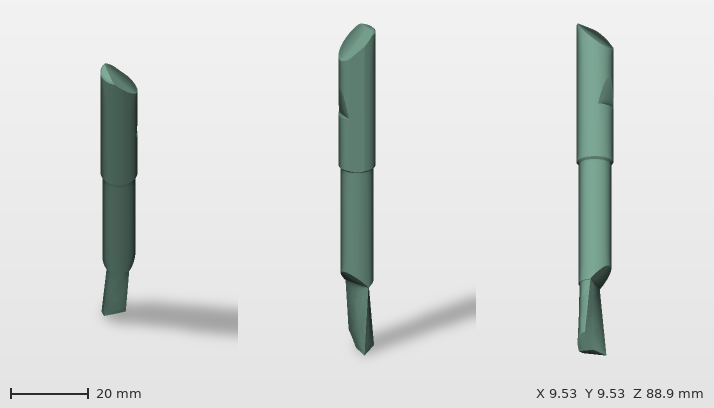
import cadquery as cq
import math

TOTAL_LENGTH = 88.9
SHANK_DIAMETER = 9.525
SHANK_LENGTH = 38.1
NECK_DIAMETER = 8.4
BLADE_LENGTH = 18.2

TOP_CHAMFER = 0.4
TOP_LAND_Y = -2.8
TOP_SLANT_ANGLE = 45
FLAT_DIRECTION = 155.2
FLAT_DISTANCE = 4.35
NOTCH_FLOOR_Z = 65.75
NOTCH_HEIGHT = 7.5
NOTCH_DEPTH = 1.15

BLADE_TOP_RADIUS = 4.0
BLADE_TIP_RADIUS = 4.6
TOP_RAKE_ANGLE = 202.0
TOP_FLANK_ANGLE = 288.5
TOP_BACK_ANGLE = 382.5
TIP_RAKE_ANGLE = 180.0
TIP_FLANK_ANGLE = 261.0
TIP_BACK_ANGLE = 360.0
BACK_CORNER_X = 0.45
BACK_BEVEL_ANGLE = 45
END_RELIEF_ANGLE = 6
END_TILT_ANGLE = 2

RAKE_RUNOUT_ANGLE = 47
FLANK_RUNOUT_ANGLE = 38

shank_radius = SHANK_DIAMETER / 2
neck_radius = NECK_DIAMETER / 2
shank_bottom = TOTAL_LENGTH - SHANK_LENGTH
big = 2 * SHANK_DIAMETER


def tangent(angle):
    return math.tan(math.radians(angle))


def on_circle(radius, angle):
    turn = math.radians(angle)
    return (radius * math.cos(turn), radius * math.sin(turn))


def cross_cutter(plane, points):
    """Prism with the given outline, reaching across the whole bar."""
    return cq.Workplane(plane).polyline(points).close().extrude(big, both=True)


def make_shank():
    shank = cq.Workplane("XY").workplane(offset=shank_bottom).circle(shank_radius).extrude(SHANK_LENGTH)
    shank = shank.faces("<Z").chamfer(shank_radius - neck_radius)
    return shank.faces(">Z").chamfer(TOP_CHAMFER)


def slanted_top():
    drop = big * tangent(TOP_SLANT_ANGLE)
    outline = [
        (TOP_LAND_Y, TOTAL_LENGTH),
        (TOP_LAND_Y + big, TOTAL_LENGTH - drop),
        (TOP_LAND_Y + big, TOTAL_LENGTH),
    ]
    return cross_cutter("YZ", outline)


def locating_flat():
    cutter = cq.Workplane("XY").box(big, big, SHANK_LENGTH, centered=(False, True, False))
    cutter = cutter.translate((FLAT_DISTANCE, 0, shank_bottom))
    return cutter.rotate((0, 0, 0), (0, 0, 1), FLAT_DIRECTION)


def clamping_notch():
    floor_corner = (shank_radius - NOTCH_DEPTH, NOTCH_FLOOR_Z)
    outline = [
        floor_corner,
        (shank_radius, NOTCH_FLOOR_Z),
        (shank_radius, NOTCH_FLOOR_Z + NOTCH_HEIGHT),
    ]
    return cross_cutter("YZ", outline)


def make_neck():
    neck_length = shank_bottom - BLADE_LENGTH
    return cq.Workplane("XY").workplane(offset=BLADE_LENGTH).circle(neck_radius).extrude(neck_length)


def runout(start, end, slope_angle):
    """Wedge under a plane that rises outward from the blade side between two corners."""
    side_x = end[0] - start[0]
    side_y = end[1] - start[1]
    outward = (side_y, -side_x, 0)
    side_plane = cq.Plane(
        origin=(start[0], start[1], BLADE_LENGTH),
        xDir=outward,
        normal=(-side_x, -side_y, 0),
    )
    return cross_cutter(side_plane, [(0, 0), (big, 0), (big, big * tangent(slope_angle))])


def blade_section(radius, rake_angle, flank_angle, back_angle, height):
    section = cq.Workplane("XY").workplane(offset=height)
    section = section.moveTo(*on_circle(radius, rake_angle))
    section = section.lineTo(*on_circle(radius, flank_angle))
    middle_angle = (flank_angle + back_angle) / 2
    section = section.threePointArc(on_circle(radius, middle_angle), on_circle(radius, back_angle))
    return section.close().val()


def make_blade():
    tip = blade_section(BLADE_TIP_RADIUS, TIP_RAKE_ANGLE, TIP_FLANK_ANGLE, TIP_BACK_ANGLE, 0)
    top = blade_section(
        BLADE_TOP_RADIUS, TOP_RAKE_ANGLE, TOP_FLANK_ANGLE, TOP_BACK_ANGLE, BLADE_LENGTH
    )
    return cq.Workplane(cq.Solid.makeLoft([tip, top], True))


def back_bevel():
    rise = big * tangent(BACK_BEVEL_ANGLE)
    outline = [(BACK_CORNER_X, 0), (BACK_CORNER_X + big, 0), (BACK_CORNER_X + big, rise)]
    return cross_cutter("XZ", outline)


def end_relief():
    """Block under the end face, which rises from the cutting tip."""
    block = cq.Workplane("XY").box(2 * big, 2 * big, big, centered=(True, True, False))
    block = block.translate((0, 0, -big))
    block = block.rotate((0, 0, 0), (1, 0, 0), -END_RELIEF_ANGLE)
    block = block.rotate((0, 0, 0), (0, 1, 0), -END_TILT_ANGLE)
    return block.translate((*on_circle(BLADE_TIP_RADIUS, TIP_RAKE_ANGLE), 0))


shank = make_shank().cut(slanted_top()).cut(locating_flat()).cut(clamping_notch())

rake_corner = on_circle(BLADE_TOP_RADIUS, TOP_RAKE_ANGLE)
flank_corner = on_circle(BLADE_TOP_RADIUS, TOP_FLANK_ANGLE)
back_corner = on_circle(BLADE_TOP_RADIUS, TOP_BACK_ANGLE)
neck = make_neck()
neck = neck.cut(runout(back_corner, rake_corner, RAKE_RUNOUT_ANGLE))
neck = neck.cut(runout(rake_corner, flank_corner, FLANK_RUNOUT_ANGLE))

blade = make_blade().cut(back_bevel()).cut(end_relief())

result = shank.union(neck).union(blade)